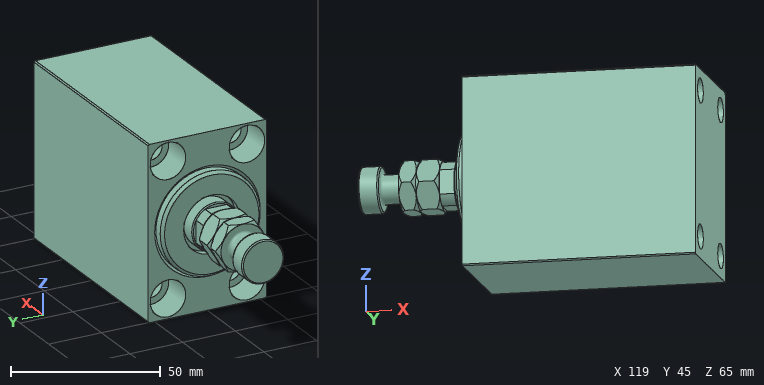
import cadquery as cq
import math

overall_length = 119.0

head_length = 7.0
head_diameter = 16.0
head_chamfer = 0.5
neck_length = 7.0
neck_diameter = 10.0
neck_fillet = 1.0
hex_across_flats = 17.0
hex_face_ratio = 0.99
hex_chamfer_angle = 45.0
front_hex_length = 6.0
rear_hex_length = 8.0

square_length = 5.1
square_across_flats = 15.0
square_corner_diameter = 17.1
rod_diameter = 18.0

gland_exposed_length = 3.0
gland_diameter = 38.0
gland_chamfer = 1.1
gland_seat_depth = 10.0
wiper_recess_diameter = 21.3
wiper_recess_depth = 3.0

block_length = 80.0
block_width = 45.0
block_height = 65.0
block_edge_chamfer = 0.5
bore_mouth_chamfer = 1.1
screw_spacing_y = 30.0
screw_spacing_z = 50.0
screw_hole_diameter = 8.5
counterbore_diameter = 13.5
counterbore_depth = 11.9

neck_start = head_length
front_hex_start = neck_start + neck_length
rear_hex_start = front_hex_start + front_hex_length
rod_start = rear_hex_start + rear_hex_length
rod_shoulder = rod_start + square_length
block_face = overall_length - block_length
gland_face = block_face - gland_exposed_length
gland_back = block_face + gland_seat_depth


def plane_at(x):
    """Plane square to the X axis, local axes along +Y and +Z."""
    return cq.Workplane("YZ", origin=(x, 0, 0))


def cylinder(diameter, start, end):
    return plane_at(start).circle(diameter / 2).extrude(end - start)


def hexagon(start, length):
    """Hexagon with corners on +Y and -Y, both ends turned to a conical chamfer."""
    corner_radius = hex_across_flats / 2 / math.cos(math.pi / 6)
    face_radius = hex_face_ratio * hex_across_flats / 2
    chamfer_depth = (corner_radius - face_radius) * math.tan(math.radians(hex_chamfer_angle))
    prism = plane_at(start).polygon(6, 2 * corner_radius).extrude(length)
    envelope = (
        cq.Workplane("XY")
        .moveTo(start, 0)
        .lineTo(start, face_radius)
        .lineTo(start + chamfer_depth, corner_radius)
        .lineTo(start + length - chamfer_depth, corner_radius)
        .lineTo(start + length, face_radius)
        .lineTo(start + length, 0)
        .close()
        .revolve(360, (0, 0, 0), (1, 0, 0))
    )
    return prism.intersect(envelope)


def make_coupling():
    """Round head on a filleted neck, followed by the two hexagons."""
    head = cylinder(head_diameter, 0, neck_start).edges().chamfer(head_chamfer)

    neck_radius = neck_diameter / 2
    flare_radius = neck_radius + neck_fillet
    arc_offset = neck_fillet * math.sqrt(0.5)
    flare_middle = flare_radius - arc_offset
    neck = (
        cq.Workplane("XY")
        .moveTo(neck_start, 0)
        .lineTo(neck_start, flare_radius)
        .threePointArc(
            (neck_start + neck_fillet - arc_offset, flare_middle),
            (neck_start + neck_fillet, neck_radius),
        )
        .lineTo(front_hex_start - neck_fillet, neck_radius)
        .threePointArc(
            (front_hex_start - neck_fillet + arc_offset, flare_middle),
            (front_hex_start, flare_radius),
        )
        .lineTo(front_hex_start, 0)
        .close()
        .revolve(360, (0, 0, 0), (1, 0, 0))
    )

    front_hex = hexagon(front_hex_start, front_hex_length)
    rear_hex = hexagon(rear_hex_start, rear_hex_length)
    return head.union(neck).union(front_hex).union(rear_hex)


def make_rod():
    """Round rod with four wrench flats at its front end."""
    shoulder_chamfer = (rod_diameter - square_corner_diameter) / 2
    shank = cylinder(rod_diameter, rod_shoulder, gland_back).faces("<X").chamfer(shoulder_chamfer)
    wrench_square = (
        plane_at(rod_start)
        .rect(square_across_flats, square_across_flats)
        .extrude(square_length)
        .intersect(cylinder(square_corner_diameter, rod_start, rod_shoulder))
    )
    return shank.union(wrench_square)


def make_gland():
    """Stepped ring that guides the rod, with a wiper recess in its front face."""
    ring = cylinder(gland_diameter, gland_face, gland_back).faces("<X").chamfer(gland_chamfer)
    wiper_recess = cylinder(wiper_recess_diameter, gland_face, gland_face + wiper_recess_depth)
    rod_bore = cylinder(rod_diameter, gland_face, gland_back)
    return ring.cut(wiper_recess).cut(rod_bore)


def make_block():
    """Rectangular block with the gland seat and four counterbored through holes."""
    block = (
        plane_at(block_face)
        .rect(block_width, block_height)
        .extrude(block_length)
        .edges("|X")
        .chamfer(block_edge_chamfer)
    )
    gland_seat = cylinder(gland_diameter, block_face, gland_back)
    mouth_diameter = gland_diameter + 2 * bore_mouth_chamfer
    mouth = plane_at(block_face).circle(mouth_diameter / 2).extrude(bore_mouth_chamfer, taper=45)
    screw_places = (
        plane_at(block_face)
        .rect(screw_spacing_y, screw_spacing_z, forConstruction=True)
        .vertices()
    )
    screw_holes = screw_places.circle(screw_hole_diameter / 2).extrude(block_length)
    counterbores = screw_places.circle(counterbore_diameter / 2).extrude(counterbore_depth)
    return block.cut(gland_seat).cut(mouth).cut(screw_holes).cut(counterbores)


coupling = make_coupling()
rod = make_rod()
gland = make_gland()
block = make_block()

bodies = [coupling, rod, gland, block]
result = cq.Compound.makeCompound([body.solids().val() for body in bodies])